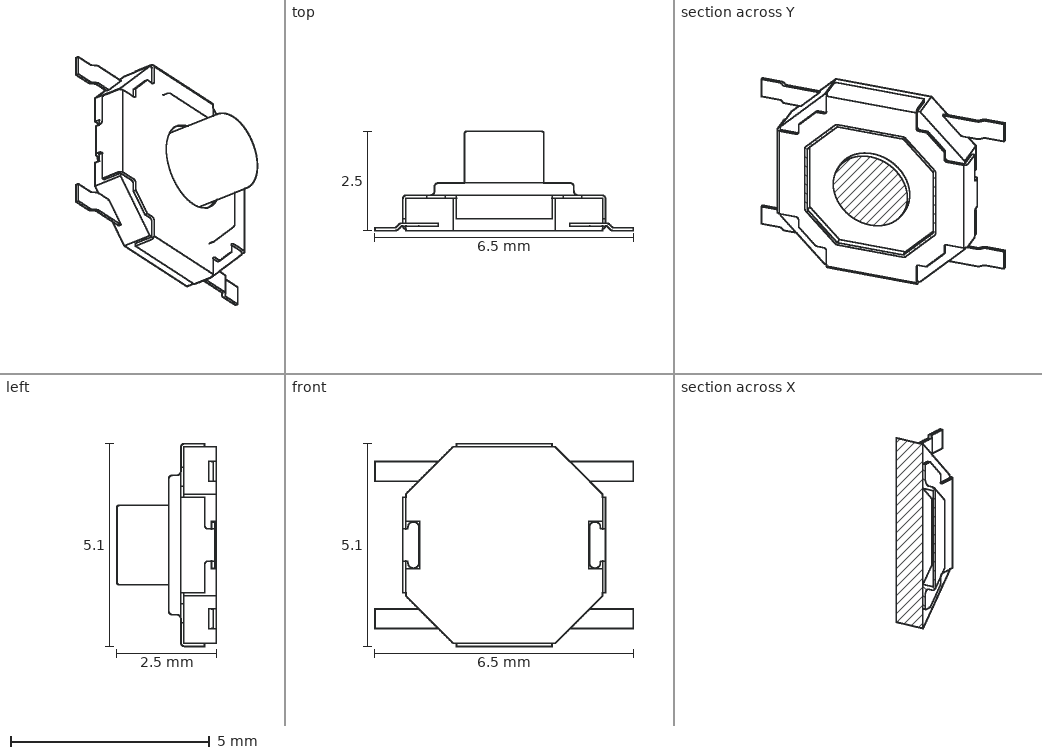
import cadquery as cq
import math


LENGTH = 6.5
HEIGHT = 2.5
WIDTH = 5.1
SHEET = 0.08
BEND_RADIUS = 0.1

BASE_HALF = WIDTH / 2 - SHEET
BASE_FLAT_HALF = 1.28
BASE_TOP = 0.82
POCKET_DEPTH = 0.135
POCKET_HALF_WIDTH = 0.6
FIT_GAP = 0.02

COVER_HALF = WIDTH / 2
COVER_TOP = BASE_TOP + SHEET
PLATE_HALF = 1.95
PLATE_FLAT_HALF = 1.48
TAB_HALF_WIDTH = 1.2
TAB_BOTTOM = 0.3
RELIEF_RADIUS = 0.08
DOME_HALF = 1.755
DOME_FLAT_HALF = 0.915
DOME_TOP = 1.2
DOME_RADIUS = 0.1
BUTTON_HOLE_DIAMETER = 2.2

STRAP_HALF_WIDTH = 0.4
FOOT_TOP = POCKET_DEPTH - FIT_GAP
FOOT_BOTTOM = FOOT_TOP - SHEET
FOOT_HALF_WIDTH = POCKET_HALF_WIDTH - FIT_GAP
FOOT_INNER = 2.145
FOOT_OUTER = 2.42
FOOT_CORNER_RADIUS = 0.125
FOOT_NECK_RADIUS = 0.03
POCKET_INNER = FOOT_INNER - FIT_GAP

BUTTON_DIAMETER = 2.0
BUTTON_EDGE_RADIUS = 0.06

LEAD_WIDTH = 0.5
LEAD_Z = 1.85
LEAD_RISE = 0.12
LEAD_STEP_X = 2.58
LEAD_INNER_RADIUS = 0.03

TOLERANCE = 0.0005


def block(x_range, y_range, z_range):
    """Axis-aligned box given by its limits."""
    size = [high - low for low, high in (x_range, y_range, z_range)]
    corner = (x_range[0], y_range[0], z_range[0])
    return cq.Workplane("XY").box(*size, centered=False).translate(corner)


def octagon(half, flat_half, y):
    """Octagonal wire at height y; flat_half is half of each axis-parallel side."""
    points = [
        (half, -flat_half), (half, flat_half), (flat_half, half), (-flat_half, half),
        (-half, flat_half), (-half, -flat_half), (-flat_half, -half), (flat_half, -half),
    ]
    return cq.Workplane("XZ", origin=(0, y, 0)).polyline(points).close()


def edges_at(part, direction, first, second):
    """Edges along one axis whose other two centre coordinates have the given magnitudes."""
    others = [axis for axis in "XYZ" if axis != direction]

    def on_line(edge):
        centre = dict(zip("XYZ", edge.Center().toTuple()))
        return all(
            abs(abs(centre[axis]) - wanted) < TOLERANCE
            for axis, wanted in zip(others, (first, second))
        )

    return part.edges("|" + direction).filter(on_line)


def both_sides(body):
    """The body together with its mirror image at -X."""
    return body.union(body.mirror("YZ"))


def make_base():
    pocket = block(
        (POCKET_INNER, BASE_HALF),
        (0, POCKET_DEPTH),
        (-POCKET_HALF_WIDTH, POCKET_HALF_WIDTH),
    )
    body = octagon(BASE_HALF, BASE_FLAT_HALF, 0).extrude(-BASE_TOP)
    return body.cut(both_sides(pocket))


def make_plate():
    """Flat sheet on top of the base, with relieved corners beside the tabs."""
    sheet_y = (BASE_TOP, COVER_TOP)
    long_range = (-BASE_HALF, BASE_HALF)
    tab_range = (-TAB_HALF_WIDTH, TAB_HALF_WIDTH)
    plate = octagon(PLATE_HALF, PLATE_FLAT_HALF, BASE_TOP).extrude(-SHEET)
    plate = plate.union(block(long_range, sheet_y, tab_range))
    plate = plate.union(block(tab_range, sheet_y, long_range))
    plate = edges_at(plate, "Y", TAB_HALF_WIDTH, PLATE_HALF).fillet(RELIEF_RADIUS)
    return edges_at(plate, "Y", PLATE_HALF, TAB_HALF_WIDTH).fillet(RELIEF_RADIUS)


def make_tab():
    """Sheet folded over the +X edge of the base and down its side."""
    tab_range = (-TAB_HALF_WIDTH, TAB_HALF_WIDTH)
    tab = block((PLATE_HALF, COVER_HALF), (TAB_BOTTOM, COVER_TOP), tab_range)
    tab = edges_at(tab, "Z", COVER_HALF, COVER_TOP).fillet(BEND_RADIUS)
    return tab.cut(block((PLATE_HALF, BASE_HALF), (TAB_BOTTOM, BASE_TOP), tab_range))


def make_strap_tab():
    """The +X tab with a strap that folds under the base and ends in a wide foot."""
    strap_z = (-STRAP_HALF_WIDTH, STRAP_HALF_WIDTH)
    upright = block((BASE_HALF, COVER_HALF), (FOOT_BOTTOM, TAB_BOTTOM), strap_z)
    tab = make_tab().union(upright)
    tab = edges_at(tab, "X", TAB_BOTTOM, STRAP_HALF_WIDTH).fillet(BEND_RADIUS)

    tab = tab.union(block((FOOT_INNER, BASE_HALF), (FOOT_BOTTOM, FOOT_TOP), strap_z))
    tab = edges_at(tab, "Z", COVER_HALF, FOOT_BOTTOM).fillet(BEND_RADIUS)
    tab = edges_at(tab, "Z", BASE_HALF, FOOT_TOP).fillet(BEND_RADIUS - SHEET)

    foot = block(
        (FOOT_INNER, FOOT_OUTER),
        (FOOT_BOTTOM, FOOT_TOP),
        (-FOOT_HALF_WIDTH, FOOT_HALF_WIDTH),
    )
    tab = tab.union(foot.edges("|Y").fillet(FOOT_CORNER_RADIUS))
    return edges_at(tab, "Y", FOOT_OUTER, STRAP_HALF_WIDTH).fillet(FOOT_NECK_RADIUS)


def add_dome(plate):
    """Raise the hollow octagonal dome, pierced for the button."""
    dome = octagon(DOME_HALF, DOME_FLAT_HALF, BASE_TOP).extrude(BASE_TOP - DOME_TOP)
    dome = dome.edges("|Y").fillet(DOME_RADIUS).faces(">Y").edges().fillet(DOME_RADIUS)
    cover = plate.union(dome)

    def around_dome_foot(edge):
        centre = edge.Center()
        return (
            abs(centre.y - COVER_TOP) < TOLERANCE
            and max(abs(centre.x), abs(centre.z)) < DOME_HALF + TOLERANCE
            and abs(centre.x) + abs(centre.z) < DOME_HALF + DOME_FLAT_HALF + TOLERANCE
        )

    cover = cover.edges().filter(around_dome_foot).fillet(DOME_RADIUS)

    cavity_height = DOME_TOP - SHEET - BASE_TOP
    cavity = octagon(DOME_HALF, DOME_FLAT_HALF, BASE_TOP).offset2D(-SHEET).extrude(-cavity_height)
    hole = cq.Workplane("XZ").circle(BUTTON_HOLE_DIAMETER / 2).extrude(-DOME_TOP)
    return cover.cut(cavity).cut(hole)


def make_cover():
    cover = add_dome(make_plate())
    cover = cover.union(both_sides(make_strap_tab()))
    for angle in (90, -90):
        cover = cover.union(make_tab().rotate((0, 0, 0), (0, 1, 0), angle))
    return cover


def make_button():
    """Plunger standing on the base and passing through the dome."""
    button = cq.Workplane("XZ", origin=(0, BASE_TOP, 0)).circle(BUTTON_DIAMETER / 2)
    button = button.extrude(BASE_TOP - HEIGHT)
    return button.faces(">Y").edges().fillet(BUTTON_EDGE_RADIUS)


def make_lead(x_side, z_side):
    """Gull-wing lead whose inner end lies flush on a corner face of the base."""
    tip = LENGTH / 2
    upper_height = LEAD_RISE + SHEET
    drop_end = LEAD_STEP_X + LEAD_RISE
    shift = SHEET * math.tan(math.radians(45 / 2))
    profile = [
        (0, LEAD_RISE), (LEAD_STEP_X, LEAD_RISE), (drop_end, 0), (tip, 0),
        (tip, SHEET), (drop_end + shift, SHEET), (LEAD_STEP_X + shift, upper_height),
        (0, upper_height),
    ]
    lead = cq.Workplane("XY", origin=(0, 0, LEAD_Z)).polyline(profile).close()
    lead = lead.extrude(LEAD_WIDTH / 2, both=True)
    for x, y in ((LEAD_STEP_X, LEAD_RISE), (drop_end + shift, SHEET)):
        lead = edges_at(lead, "Z", x, y).fillet(LEAD_INNER_RADIUS)
    for x, y in ((LEAD_STEP_X + shift, upper_height), (drop_end, 0)):
        lead = edges_at(lead, "Z", x, y).fillet(LEAD_INNER_RADIUS + SHEET)
    lead = lead.cut(octagon(BASE_HALF, BASE_FLAT_HALF, 0).extrude(-BASE_TOP))
    if x_side < 0:
        lead = lead.mirror("YZ")
    if z_side < 0:
        lead = lead.mirror("XY")
    return lead


base = make_base()
cover = make_cover()
button = make_button()
leads = [make_lead(x_side, z_side) for x_side in (-1, 1) for z_side in (-1, 1)]

result = cq.Compound.makeCompound(
    [base.val(), cover.val(), button.val(), *[lead.val() for lead in leads]]
)